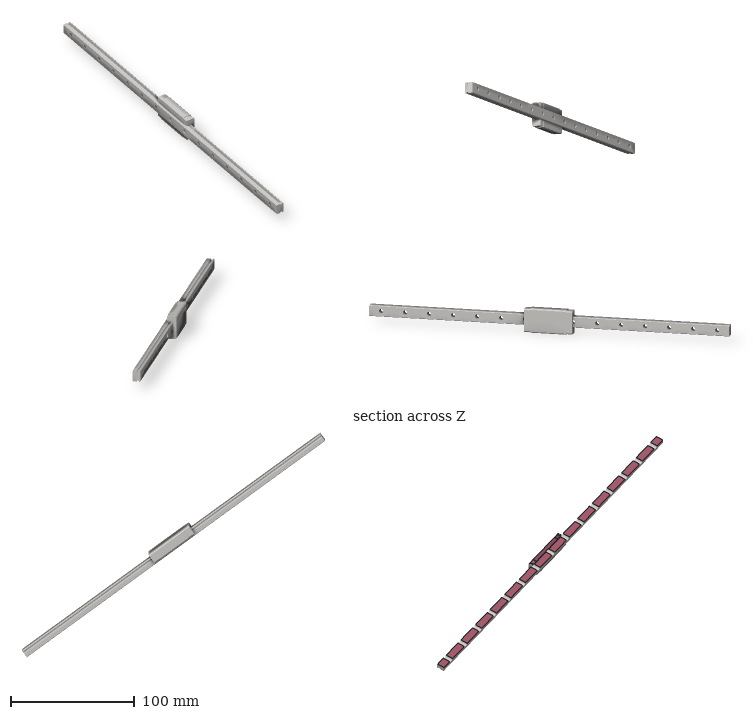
import cadquery as cq

RAIL_LENGTH = 300.0
RAIL_WIDTH = 9.0
RAIL_HEIGHT = 6.5
RAIL_CHAMFER = 0.42
GROOVE_RADIUS = 1.0
GROOVE_HEIGHT = 4.5

HOLE_COUNT = 15
HOLE_PITCH = RAIL_LENGTH / HOLE_COUNT
HOLE_DIAMETER = 3.5

CARRIAGE_TOP = 10.0
TOP_CHAMFER = 1.0
BOTTOM_CHAMFER = 0.3

BLOCK_LENGTH = 30.0
BLOCK_WIDTH = 20.0
BLOCK_BOTTOM = 1.98

END_WIDTH = 19.2
END_BOTTOM = 2.0
CAP_LENGTH = 4.0
SEAL_LENGTH = 1.2

LUBE_DIAMETER = 1.2
LUBE_HEIGHT = (RAIL_HEIGHT + CARRIAGE_TOP) / 2

CAP_START = BLOCK_LENGTH / 2
SEAL_START = CAP_START + CAP_LENGTH


def make_bar(start, length, bottom, top, width):
    """Rectangular bar along X from X = start, between two heights in Y and centred on Z = 0."""
    center = (start + length / 2, (bottom + top) / 2, 0)
    return cq.Workplane("XY").box(length, top - bottom, width).translate(center)


def make_rail():
    """Chamfered bar with a round groove along each side and a row of mounting holes."""
    rail = make_bar(-RAIL_LENGTH / 2, RAIL_LENGTH, 0, RAIL_HEIGHT, RAIL_WIDTH)
    rail = rail.edges("|X").chamfer(RAIL_CHAMFER)

    grooves = (
        cq.Workplane("YZ", origin=(-RAIL_LENGTH / 2, 0, 0))
        .pushPoints([(GROOVE_HEIGHT, side * RAIL_WIDTH / 2) for side in (-1, 1)])
        .circle(GROOVE_RADIUS)
        .extrude(RAIL_LENGTH)
    )

    first_hole = (HOLE_PITCH - RAIL_LENGTH) / 2
    hole_places = [(first_hole + i * HOLE_PITCH, 0) for i in range(HOLE_COUNT)]
    holes = (
        cq.Workplane("XZ")
        .pushPoints(hole_places)
        .circle(HOLE_DIAMETER / 2)
        .extrude(-RAIL_HEIGHT)
    )
    return rail.cut(grooves).cut(holes)


def make_saddle(start, length, bottom, width):
    """Chamfered length of carriage from X = start, with a channel that fits around the rail."""
    saddle = make_bar(start, length, bottom, CARRIAGE_TOP, width)
    saddle = saddle.faces(">Y").edges("|X").chamfer(TOP_CHAMFER)
    saddle = saddle.faces("<Y").edges("|X").chamfer(BOTTOM_CHAMFER)
    channel = make_bar(start, length, 0, RAIL_HEIGHT, RAIL_WIDTH)
    return saddle.cut(channel)


def make_block():
    """Centre part of the carriage."""
    return make_saddle(-BLOCK_LENGTH / 2, BLOCK_LENGTH, BLOCK_BOTTOM, BLOCK_WIDTH)


def make_end_cap():
    """Cap on the +X end of the block."""
    return make_saddle(CAP_START, CAP_LENGTH, END_BOTTOM, END_WIDTH)


def make_end_seal():
    """Seal on the outer face of the +X cap, pierced by the lubrication hole."""
    seal = make_saddle(SEAL_START, SEAL_LENGTH, END_BOTTOM, END_WIDTH)
    lube_hole = (
        cq.Workplane("YZ", origin=(SEAL_START, 0, 0))
        .center(LUBE_HEIGHT, 0)
        .circle(LUBE_DIAMETER / 2)
        .extrude(SEAL_LENGTH)
    )
    return seal.cut(lube_hole)


rail = make_rail()
block = make_block()

end_parts = []
for end_part in (make_end_cap(), make_end_seal()):
    end_parts.append(end_part.val())
    end_parts.append(end_part.mirror("YZ").val())

result = cq.Compound.makeCompound([rail.val(), block.val(), *end_parts])